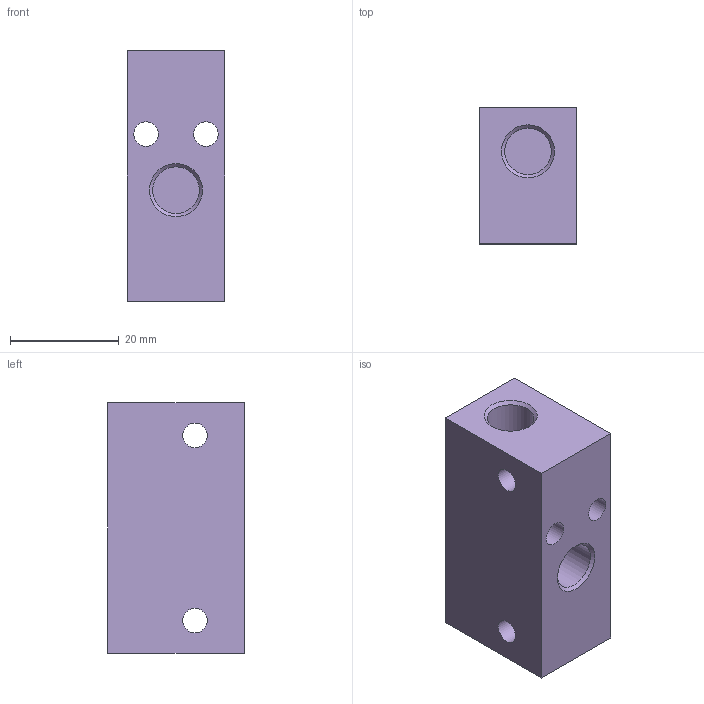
import cadquery as cq

WIDTH = 18.0
DEPTH = 25.0
HEIGHT = 46.0

MOUNT_DIAMETER = 4.5
SIDE_HOLE_SETBACK = 9.0
SIDE_HOLE_EDGE_DISTANCE = 6.0
FRONT_HOLE_SPACING = 11.0
FRONT_HOLE_HEIGHT = 30.7

PORT_DIAMETER = 8.57
PORT_MOUTH_DIAMETER = 9.73
PORT_DEPTH = 12.0
FRONT_PORT_HEIGHT = 20.4
TOP_PORT_SETBACK = 17.0


def through_hole(face_point, direction, length):
    """Cylinder for a mounting hole, starting on a face and crossing the block."""
    start = cq.Vector(*face_point)
    axis = cq.Vector(*direction)
    return cq.Workplane(cq.Solid.makeCylinder(MOUNT_DIAMETER / 2, length, start, axis))


def port(face_point, direction):
    """Flat-bottomed port bore together with its conical mouth."""
    start = cq.Vector(*face_point)
    axis = cq.Vector(*direction)
    bore_radius = PORT_DIAMETER / 2
    mouth_radius = PORT_MOUTH_DIAMETER / 2
    mouth_depth = mouth_radius - bore_radius
    bore = cq.Solid.makeCylinder(bore_radius, PORT_DEPTH, start, axis)
    mouth = cq.Solid.makeCone(mouth_radius, bore_radius, mouth_depth, start, axis)
    return cq.Workplane(bore).union(cq.Workplane(mouth))


block = cq.Workplane("XY").box(WIDTH, DEPTH, HEIGHT, centered=(True, False, False))

for hole_height in (SIDE_HOLE_EDGE_DISTANCE, HEIGHT - SIDE_HOLE_EDGE_DISTANCE):
    side_point = (-WIDTH / 2, SIDE_HOLE_SETBACK, hole_height)
    block = block.cut(through_hole(side_point, (1, 0, 0), WIDTH))

for hole_x in (-FRONT_HOLE_SPACING / 2, FRONT_HOLE_SPACING / 2):
    front_point = (hole_x, 0, FRONT_HOLE_HEIGHT)
    block = block.cut(through_hole(front_point, (0, 1, 0), DEPTH))

block = block.cut(port((0, 0, FRONT_PORT_HEIGHT), (0, 1, 0)))
block = block.cut(port((0, TOP_PORT_SETBACK, HEIGHT), (0, 0, -1)))

result = block